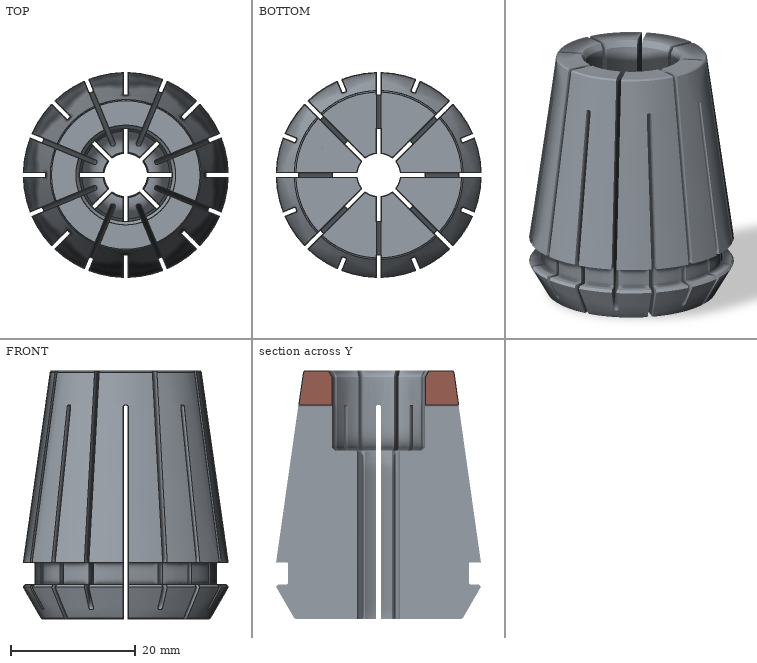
import cadquery as cq
import math

height = 40.0
max_radius = 33.0 / 2
taper_angle = 8.0
nose_angle = 30.0
taper_bottom = 9.1
top_radius = max_radius - (height - taper_bottom) * math.tan(math.radians(taper_angle))
top_bevel_width = 0.2
top_bevel_height = 0.25

groove_radius = 14.6
groove_bottom = 5.55
rim_height = 5.15
rim_bevel = 0.3
root_fillet = 0.2
bottom_bevel = 0.15
nose_radius = max_radius - rim_height * math.tan(math.radians(nose_angle))

clamp_radius = 7.0 / 2
relief_radius = 7.5
floor_radius = 7.1
bore_mouth_radius = 8.05
mouth_bevel_height = 1.0
clamp_bevel = 0.15

slot_width = 0.8
slot_corner = 0.3
slots_per_set = 8
slot_pitch = 360.0 / slots_per_set
lower_slot_top = 34.5
upper_slot_low_end = 1.5
upper_slot_inner_radius = 5.1
upper_slot_rise = 70.0

upper_slot_outer_radius = nose_radius + upper_slot_low_end * math.tan(math.radians(nose_angle))
slot_floor_run = upper_slot_outer_radius - upper_slot_inner_radius
floor_height = upper_slot_low_end + slot_floor_run * math.tan(math.radians(upper_slot_rise))
corner_cone_height = relief_radius - floor_radius

cutter_reach = 2 * height


def collet_blank():
    """Revolve the unslotted half section, with its stepped bore, about Z."""
    section = (
        cq.Workplane("XZ")
        .moveTo(clamp_radius, 0)
        .lineTo(nose_radius - bottom_bevel, 0)
        .lineTo(nose_radius + bottom_bevel * math.tan(math.radians(nose_angle)), bottom_bevel)
        .lineTo(max_radius, rim_height)
        .lineTo(max_radius - rim_bevel, groove_bottom)
        .lineTo(groove_radius + root_fillet, groove_bottom)
        .radiusArc((groove_radius, groove_bottom + root_fillet), root_fillet)
        .lineTo(groove_radius, taper_bottom - root_fillet)
        .radiusArc((groove_radius + root_fillet, taper_bottom), root_fillet)
        .lineTo(max_radius, taper_bottom)
        .lineTo(top_radius, height - top_bevel_height)
        .lineTo(top_radius - top_bevel_width, height)
        .lineTo(bore_mouth_radius, height)
        .lineTo(relief_radius, height - mouth_bevel_height)
        .lineTo(relief_radius, floor_height + corner_cone_height)
        .lineTo(floor_radius, floor_height)
        .lineTo(clamp_radius + clamp_bevel, floor_height)
        .lineTo(clamp_radius, floor_height - clamp_bevel)
        .close()
    )
    return section.revolve(360, (0, 0, 0), (0, 1, 0))


def slot_cutter(end_plane):
    """Slab reaching along the plane's local -Y from a round-cornered end that lies on its local X."""
    half_width = slot_width / 2
    end_half_width = half_width - slot_corner
    return (
        cq.Workplane(end_plane)
        .moveTo(-half_width, -cutter_reach)
        .lineTo(-half_width, -slot_corner)
        .radiusArc((-end_half_width, 0), slot_corner)
        .lineTo(end_half_width, 0)
        .radiusArc((half_width, -slot_corner), slot_corner)
        .lineTo(half_width, -cutter_reach)
        .close()
        .extrude(cutter_reach, both=True)
    )


def keep_one_side(cutter):
    """Limit a cutter to the +X side of the axis so that it makes a single radial slot."""
    window = cq.Workplane("XY").box(
        cutter_reach, 2 * slot_width, 2 * cutter_reach, centered=(False, True, True)
    )
    return cutter.intersect(window)


def lower_slot():
    """Radial slot along +X, open at the bottom, with a level crown."""
    crown = cq.Plane(origin=(0, 0, lower_slot_top), xDir=(0, 1, 0), normal=(1, 0, 0))
    return keep_one_side(slot_cutter(crown))


def upper_slot():
    """Radial slot along +X, open at the top, with a floor that climbs towards the axis."""
    rise = math.radians(upper_slot_rise)
    floor = cq.Plane(
        origin=(upper_slot_outer_radius, 0, upper_slot_low_end),
        xDir=(0, 1, 0),
        normal=(-math.cos(rise), 0, math.sin(rise)),
    )
    return keep_one_side(slot_cutter(floor))


lower_cutter = lower_slot()
upper_cutter = upper_slot()

result = collet_blank()
for index in range(slots_per_set):
    angle = index * slot_pitch
    result = result.cut(lower_cutter.rotate((0, 0, 0), (0, 0, 1), angle))
    result = result.cut(upper_cutter.rotate((0, 0, 0), (0, 0, 1), angle + slot_pitch / 2))